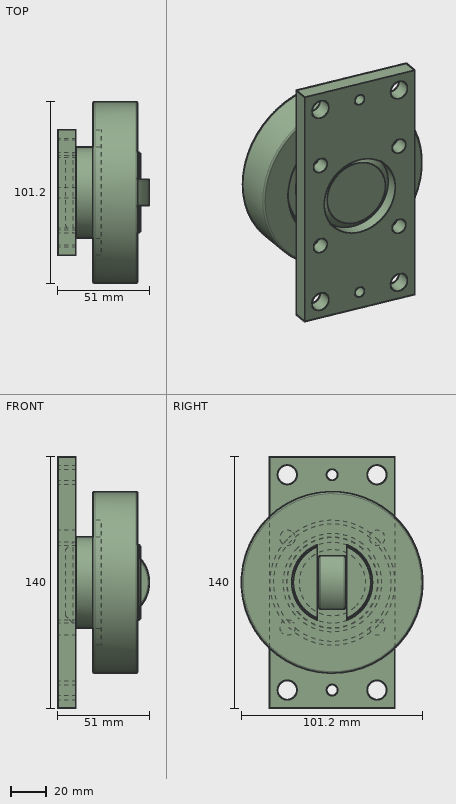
import cadquery as cq

PLATE_THICKNESS = 10.0
PLATE_WIDTH = 70.0
PLATE_HEIGHT = 140.0
CORNER_HOLE_DIAMETER = 10.6
INNER_HOLE_DIAMETER = 8.5
DOWEL_HOLE_DIAMETER = 6.0
HOLE_SPACING = 50.0
OUTER_ROW_SPACING = 120.0

PIN_RADIUS = 22.5
PIN_END_X = 4.0
PIN_CHAMFER = 4.0
HUB_RADIUS = 25.5
HUB_EDGE_CHAMFER = 0.3

ROLLER_RADIUS = 50.61
ROLLER_START_X = 19.5
ROLLER_END_X = 44.4
ROLLER_FILLET = 1.0

RECESS_RADIUS = 34.9
RECESS_FLOOR_X = 24.2
SEAL_INNER_RADIUS = 27.5
SEAL_OUTER_RADIUS = 32.8
SEAL_HEIGHT = 0.3

CAP_RADIUS = 22.5
CAP_END_X = 46.0
CAP_CHAMFER = 1.0
CAP_SLOT_WIDTH = 16.4
SIDE_ROLLER_RADIUS = 20.0
SIDE_ROLLER_WIDTH = 15.0
SIDE_ROLLER_END_X = 51.0
SIDE_ROLLER_FILLET = 1.0


def disc(radius, start_x, end_x):
    """A cylinder on the bearing axis between two X positions."""
    return cq.Workplane("YZ", origin=(start_x, 0, 0)).circle(radius).extrude(end_x - start_x)


def drill_plate(plate, diameter, columns, row_spacing):
    """Drill through holes in two rows, at the given Y columns."""
    places = [(y, side * row_spacing / 2) for y in columns for side in (-1, 1)]
    drills = cq.Workplane("YZ").pushPoints(places).circle(diameter / 2).extrude(PLATE_THICKNESS)
    return plate.cut(drills)


def make_plate():
    plate = cq.Workplane("YZ").rect(PLATE_WIDTH, PLATE_HEIGHT).extrude(PLATE_THICKNESS)
    plate = plate.cut(disc(PIN_RADIUS, 0, PLATE_THICKNESS))
    bolt_columns = (-HOLE_SPACING / 2, HOLE_SPACING / 2)
    plate = drill_plate(plate, CORNER_HOLE_DIAMETER, bolt_columns, OUTER_ROW_SPACING)
    plate = drill_plate(plate, INNER_HOLE_DIAMETER, bolt_columns, HOLE_SPACING)
    return drill_plate(plate, DOWEL_HOLE_DIAMETER, (0,), OUTER_ROW_SPACING)


def make_main_roller():
    roller = disc(ROLLER_RADIUS, ROLLER_START_X, ROLLER_END_X).edges().fillet(ROLLER_FILLET)
    roller = roller.cut(disc(RECESS_RADIUS, ROLLER_START_X, RECESS_FLOOR_X))
    seal_start_x = RECESS_FLOOR_X - SEAL_HEIGHT
    seal = disc(SEAL_OUTER_RADIUS, seal_start_x, RECESS_FLOOR_X)
    seal = seal.cut(disc(SEAL_INNER_RADIUS, seal_start_x, RECESS_FLOOR_X))
    return roller.union(seal)


def make_pin_and_hub():
    pin = disc(PIN_RADIUS, PIN_END_X, PLATE_THICKNESS).faces("<X").chamfer(PIN_CHAMFER)
    hub = disc(HUB_RADIUS, PLATE_THICKNESS, RECESS_FLOOR_X).faces("<X").chamfer(HUB_EDGE_CHAMFER)
    return pin.union(hub)


def make_end_cap():
    cap = disc(CAP_RADIUS, ROLLER_END_X, CAP_END_X).faces(">X").chamfer(CAP_CHAMFER)
    slot = cq.Workplane("XY").box(2 * CAP_END_X, CAP_SLOT_WIDTH, 2 * CAP_RADIUS)
    return cap.cut(slot)


def make_side_roller():
    """The part of the side roller that stands out of the main roller; its axis is along Y."""
    centre_x = SIDE_ROLLER_END_X - SIDE_ROLLER_RADIUS
    side_roller = (
        cq.Workplane("XZ", origin=(centre_x, SIDE_ROLLER_WIDTH / 2, 0))
        .circle(SIDE_ROLLER_RADIUS)
        .extrude(SIDE_ROLLER_WIDTH)
        .edges()
        .fillet(SIDE_ROLLER_FILLET)
    )
    return side_roller.intersect(disc(ROLLER_RADIUS, ROLLER_END_X, SIDE_ROLLER_END_X))


def make_bearing():
    bearing = make_main_roller().union(make_pin_and_hub())
    return bearing.union(make_end_cap()).union(make_side_roller())


plate = make_plate()
bearing = make_bearing()

result = cq.Compound.makeCompound([plate.val(), bearing.val()])